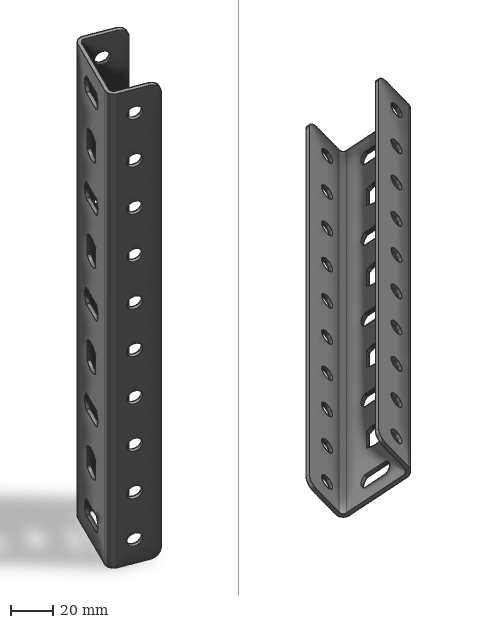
import cadquery as cq
import math

length = 300.0
width = 44.0
depth = 27.0
thickness = 2.0
bend_outer_radius = 4.5
bend_inner_radius = bend_outer_radius - thickness
flange_corner_radius = 6.0

hole_diameter = 8.0
hole_pitch = 30.0
hole_count = 10
hole_y = depth / 2

slot_length = 17.5
slot_width = 10.5
slot_end_radius = 7.5
slot_end_rise = slot_end_radius - math.sqrt(slot_end_radius**2 - (slot_width / 2) ** 2)
crosswise_slot_count = 5
lengthwise_slot_count = crosswise_slot_count - 1
slot_pitch = 67.0


def centred_positions(count, pitch):
    """Z positions of a row of features centred on the length."""
    return [length / 2 + (i - (count - 1) / 2) * pitch for i in range(count)]


def make_channel():
    """Bent sheet channel with rounded flange corners."""
    outer = (
        cq.Workplane("XY")
        .rect(width, depth)
        .extrude(length)
        .translate((0, depth / 2, 0))
        .edges("|Z and <Y")
        .fillet(bend_outer_radius)
        .edges("|X and >Y")
        .fillet(flange_corner_radius)
    )
    inner = (
        cq.Workplane("XY")
        .rect(width - 2 * thickness, depth)
        .extrude(length)
        .translate((0, depth / 2 + thickness, 0))
        .edges("|Z and <Y")
        .fillet(bend_inner_radius)
    )
    return outer.cut(inner)


def make_flange_holes():
    """Cylinders along X that pierce both flanges."""
    points = [(hole_y, z) for z in centred_positions(hole_count, hole_pitch)]
    return (
        cq.Workplane("YZ")
        .pushPoints(points)
        .circle(hole_diameter / 2)
        .extrude(width, both=True)
    )


def make_slot_cutter(angle):
    """Slot with shallow arced ends, centred on the origin and turned about Y."""
    half_length = slot_length / 2
    half_width = slot_width / 2
    half_side = half_length - slot_end_rise
    return (
        cq.Workplane("XZ")
        .moveTo(-half_side, -half_width)
        .lineTo(half_side, -half_width)
        .threePointArc((half_length, 0), (half_side, half_width))
        .lineTo(-half_side, half_width)
        .threePointArc((-half_length, 0), (-half_side, -half_width))
        .close()
        .extrude(thickness, both=True)
        .rotate((0, 0, 0), (0, 1, 0), angle)
    )


def cut_web_slots(body, count, angle):
    """Cut a centred row of slots; an angle of 90 runs each slot along Z."""
    cutter = make_slot_cutter(angle)
    for z in centred_positions(count, slot_pitch):
        body = body.cut(cutter.translate((0, 0, z)))
    return body


result = make_channel().cut(make_flange_holes())
result = cut_web_slots(result, crosswise_slot_count, 0)
result = cut_web_slots(result, lengthwise_slot_count, 90)